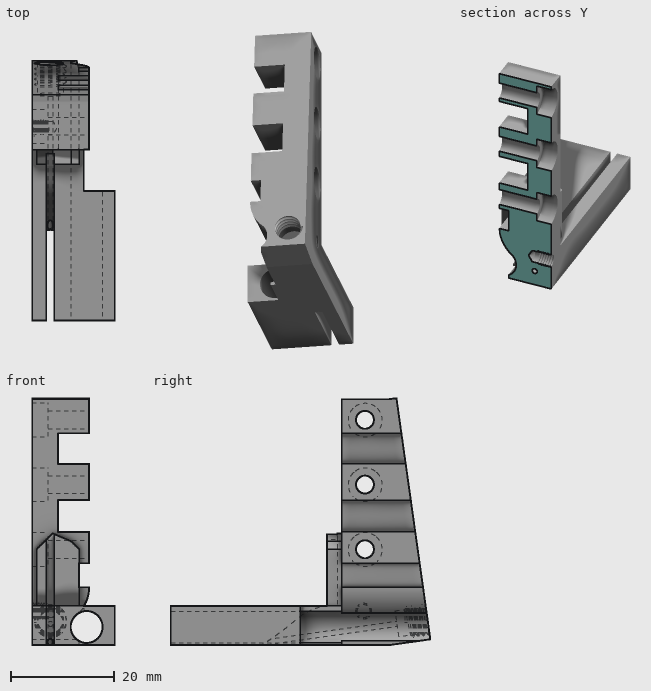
import cadquery as cq
import math


total_length = 50.2
arm_height = 7.6
arm_width = 10.0
tip_width = 16.0
tip_length = 25.05

column_width = 11.05
column_front = 33.0
column_top = 47.5
back_tilt = 8.0
tilt_start = 42.25

teeth_notches = (
    (35.05, 40.9, 5.0),
    (21.9, 28.0, 5.0),
    (11.2, 15.8, 9.05),
)
foot_radius = 7.05
foot_end = 6.25

bolt_count = 3
bolt_pitch = 12.5
bolt_y = 37.55
lowest_bolt_z = 18.5
bolt_diameter = 3.4
bolt_head_diameter = 6.5
bolt_head_depth = 3.0

guide_left = 0.9
guide_right = 9.1
guide_front = 30.15
guide_shoulder = 18.55
guide_peak_x = 3.95
guide_peak = 21.6
guide_bend_x = 7.55
guide_bend = 20.05

slot_center = 3.5
slot_width = 1.45
slot_back = 32.2
ramp_start = 17.4
ramp_bend_y = 24.6
ramp_bend_z = 5.3
ramp_end = 29.85
ramp_hollow = 0.25
ramp_crown = 0.45

rod_diameter = 6.1
rod_x = 10.55
rod_z = 3.5

thread_fill = 0.8
thread_overlap = 0.1
thread_runout = 2

bore_diameter = 5.0
bore_thread = 6.1
bore_pitch = 1.0
bore_depth = 6.0
passage_diameter = 1.0
passage_y = 18.3
passage_z = 0.6
passage_lead = 2.5

screw_diameter = 2.5
screw_thread = 3.05
screw_pitch = 0.5
screw_depth = 4.0
screw_tip = 0.75
screw_y = 37.25
screw_z = 6.6

tilt_slope = math.tan(math.radians(back_tilt))
back_normal = cq.Vector(0, math.cos(math.radians(back_tilt)), math.sin(math.radians(back_tilt)))


def box(x_range, y_range, z_range):
    size = [end - start for start, end in (x_range, y_range, z_range)]
    corner = (x_range[0], y_range[0], z_range[0])
    return cq.Workplane("XY").box(*size, centered=False).translate(corner)


def cylinder(start, direction, diameter, length):
    return cq.Workplane(cq.Solid.makeCylinder(diameter / 2, length, cq.Vector(*start), direction))


def threaded_hole(mouth, direction, groove_start, diameter, thread_diameter, pitch, depth):
    """Plain hole with a V-shaped helical groove running in from groove_start at its mouth."""
    r_inner = diameter / 2
    r_outer = thread_diameter / 2
    overlap = thread_overlap * r_inner
    half_width = thread_fill * pitch / 2
    half_root = half_width * (1 + overlap / (r_outer - r_inner))
    groove_length = depth - thread_runout * pitch
    helix = cq.Wire.makeHelix(pitch, groove_length, r_inner)
    groove = (
        cq.Workplane("XZ")
        .polyline([(r_inner - overlap, -half_root), (r_outer, 0), (r_inner - overlap, half_root)])
        .close()
        .sweep(cq.Workplane(helix), isFrenet=True)
    )
    hole = cq.Workplane("XY").circle(r_inner).extrude(depth).union(groove)
    plane = cq.Plane(origin=mouth, xDir=groove_start, normal=direction)
    return cq.Workplane(hole.val().moved(cq.Location(plane)))


def column():
    """Toothed column: side outline with tilted back, trimmed to the toothed front outline."""
    heel_z = (total_length - tilt_start) * tilt_slope
    rise = column_top - heel_z
    peak_y = (total_length - tilt_slope * (rise - tilt_start * tilt_slope)) / (1 + tilt_slope**2)
    peak_z = column_top + (peak_y - tilt_start) * tilt_slope
    side = (
        cq.Workplane("YZ")
        .polyline(
            [
                (column_front, 0),
                (tilt_start, 0),
                (total_length, heel_z),
                (peak_y, peak_z),
                (tilt_start, column_top),
                (column_front, column_top),
            ]
        )
        .close()
        .extrude(column_width)
    )
    for bottom, top, inner_x in teeth_notches:
        side = side.cut(box((inner_x, column_width), (column_front, total_length), (bottom, top)))
    return side.cut(foot_relief())


def foot_relief():
    """Waste outside the rounded +X flank, which continues straight down from the arc's end."""
    foot_top = teeth_notches[-1][0]

    def flank_x(z):
        return column_width - foot_radius + math.sqrt(foot_radius**2 - (foot_top - z) ** 2)

    foot_x = flank_x(foot_end)
    middle_z = (foot_top + foot_end) / 2
    return (
        cq.Workplane("XZ", origin=(0, column_front, 0))
        .moveTo(column_width, foot_top)
        .threePointArc((flank_x(middle_z), middle_z), (foot_x, foot_end))
        .lineTo(foot_x, 0)
        .lineTo(column_width, 0)
        .close()
        .extrude(column_front - total_length)
    )


def arm():
    bar = box((0, arm_width), (0, column_front), (0, arm_height))
    return bar.union(box((0, tip_width), (0, tip_length), (0, arm_height)))


def guide():
    """Peaked block standing on the arm against the column."""
    return (
        cq.Workplane("XZ", origin=(0, column_front, 0))
        .polyline(
            [
                (guide_left, arm_height),
                (guide_left, guide_shoulder),
                (guide_peak_x, guide_peak),
                (guide_bend_x, guide_bend),
                (guide_right, guide_shoulder),
                (guide_right, arm_height),
            ]
        )
        .close()
        .extrude(column_front - guide_front)
    )


def slot():
    """Slot through the arm and guide, with a floor that ramps up to the arm's top face."""
    hollow = ((ramp_start + ramp_bend_y) / 2, ramp_bend_z / 2 - ramp_hollow)
    crown = ((ramp_bend_y + ramp_end) / 2, (ramp_bend_z + arm_height) / 2 + ramp_crown)
    return (
        cq.Workplane("YZ", origin=(slot_center - slot_width / 2, 0, 0))
        .moveTo(0, 0)
        .lineTo(ramp_start, 0)
        .threePointArc(hollow, (ramp_bend_y, ramp_bend_z))
        .threePointArc(crown, (ramp_end, arm_height))
        .lineTo(slot_back, arm_height)
        .lineTo(slot_back, guide_peak)
        .lineTo(0, guide_peak)
        .close()
        .extrude(slot_width)
    )


def bolt_holes():
    holes = cq.Workplane("YZ")
    x_axis = cq.Vector(1, 0, 0)
    for i in range(bolt_count):
        center = (0, bolt_y, lowest_bolt_z + i * bolt_pitch)
        holes = holes.add(cylinder(center, x_axis, bolt_diameter, column_width))
        holes = holes.add(cylinder(center, x_axis, bolt_head_diameter, bolt_head_depth))
    return holes.combine()


def tilted_bore():
    """Narrow passage from the slot's ramp, square to the back face, opening into a wide bore."""
    start = cq.Vector(slot_center, passage_y, passage_z)
    heel = cq.Vector(slot_center, total_length, (total_length - tilt_start) * tilt_slope)
    length = (heel - start).dot(back_normal)
    lead_in = start - back_normal * passage_lead
    passage = cylinder(lead_in.toTuple(), back_normal, passage_diameter, length + passage_lead)
    mouth = start + back_normal * length
    left = cq.Vector(-1, 0, 0)
    bore = threaded_hole(mouth, back_normal * -1, left, bore_diameter, bore_thread, bore_pitch, bore_depth)
    return passage.union(bore)


def screw_hole():
    """Threaded blind hole with a drill-point bottom in the -X face."""
    mouth = cq.Vector(0, screw_y, screw_z)
    x_axis = cq.Vector(1, 0, 0)
    bottom = mouth + x_axis * screw_depth
    tip = cq.Solid.makeCone(screw_diameter / 2, 0, screw_tip, bottom, x_axis)
    down = cq.Vector(0, 0, -1)
    hole = threaded_hole(mouth, x_axis, down, screw_diameter, screw_thread, screw_pitch, screw_depth)
    return hole.union(cq.Workplane(tip))


rod_hole = cylinder((rod_x, 0, rod_z), cq.Vector(0, 1, 0), rod_diameter, total_length)

result = column().union(arm()).union(guide())
for cutter in (slot(), bolt_holes(), rod_hole, tilted_bore(), screw_hole()):
    result = result.cut(cutter)